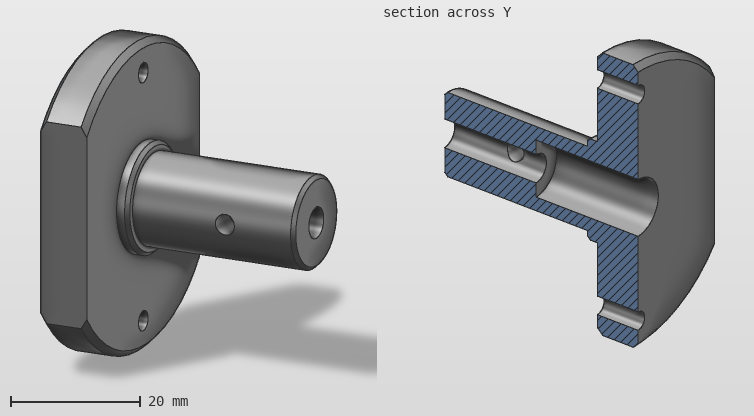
import cadquery as cq

flange_diameter = 50.0
flange_thickness = 8.0
flange_width = 38.0
flange_chamfer = 1.0

collar_diameter = 18.0
collar_length = 2.0
shaft_diameter = 15.0
total_length = 38.0
collar_chamfer = 0.6
shaft_chamfer = 0.6

bore_diameter = 10.0
bore_depth = 20.0
through_diameter = 5.0

mounting_hole_diameter = 3.2
mounting_hole_offset = 20.0

cross_hole_diameter = 3.3
cross_hole_x = 26.0


def cylinder_along_x(diameter, start, length):
    return cq.Workplane("YZ", origin=(start, 0, 0)).circle(diameter / 2).extrude(length)


def make_flange():
    disc = cylinder_along_x(flange_diameter, 0, flange_thickness).edges().chamfer(flange_chamfer)
    flats = cq.Workplane("YZ").rect(flange_width, flange_diameter).extrude(flange_thickness)
    return disc.intersect(flats)


def make_collar():
    collar_end = flange_thickness + collar_length
    return cylinder_along_x(collar_diameter, 0, collar_end).faces(">X").chamfer(collar_chamfer)


def make_shaft():
    return cylinder_along_x(shaft_diameter, 0, total_length).faces(">X").chamfer(shaft_chamfer)


def cut_bore(body):
    wide_bore = cylinder_along_x(bore_diameter, 0, bore_depth)
    through_bore = cylinder_along_x(through_diameter, 0, total_length)
    return body.cut(wide_bore).cut(through_bore)


def cut_mounting_holes(body):
    holes = (
        cq.Workplane("YZ")
        .pushPoints([(0, mounting_hole_offset), (0, -mounting_hole_offset)])
        .circle(mounting_hole_diameter / 2)
        .extrude(flange_thickness)
    )
    return body.cut(holes)


def cut_cross_hole(body):
    hole = (
        cq.Workplane("XZ")
        .center(cross_hole_x, 0)
        .circle(cross_hole_diameter / 2)
        .extrude(shaft_diameter, both=True)
    )
    return body.cut(hole)


body = make_flange().union(make_collar()).union(make_shaft())
body = cut_bore(body)
body = cut_mounting_holes(body)
result = cut_cross_hole(body)